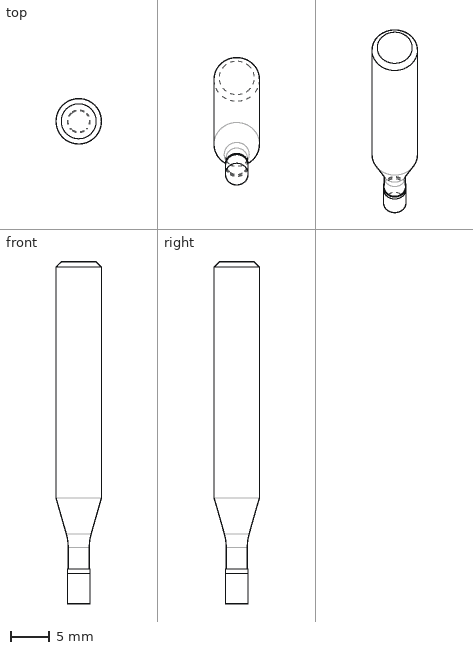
import cadquery as cq
import math

total_length = 45.0

head_radius = 1.5
cutter_length = 4.0

collar_top = 4.6
neck_radius = 1.4
neck_top = 7.43
blend_radius = 6.4
taper_angle = math.radians(16.0)
shank_radius = 3.0
end_chamfer = 0.7


def make_cutter():
    """Plain cylinder that envelops the cutting edges."""
    return cq.Workplane("XY").circle(head_radius).extrude(cutter_length)


def blend_point(angle):
    """Point (radius, height) on the neck blend, where the wall leans outward by the angle."""
    radius = neck_radius + blend_radius * (1 - math.cos(angle))
    height = neck_top + blend_radius * math.sin(angle)
    return radius, height


def make_shank():
    """Revolved holder: collar, relieved neck, blended taper and chamfered shank."""
    blend_end = blend_point(taper_angle)
    taper_top = blend_end[1] + (shank_radius - blend_end[0]) / math.tan(taper_angle)
    return (
        cq.Workplane("XZ")
        .moveTo(0, cutter_length)
        .lineTo(head_radius, cutter_length)
        .lineTo(head_radius, collar_top)
        .lineTo(neck_radius, collar_top)
        .lineTo(neck_radius, neck_top)
        .threePointArc(blend_point(taper_angle / 2), blend_end)
        .lineTo(shank_radius, taper_top)
        .lineTo(shank_radius, total_length - end_chamfer)
        .lineTo(shank_radius - end_chamfer, total_length)
        .lineTo(0, total_length)
        .close()
        .revolve(360, (0, 0, 0), (0, 1, 0))
    )


cutter = make_cutter()
shank = make_shank()

result = cq.Compound.makeCompound([cutter.val(), shank.val()])